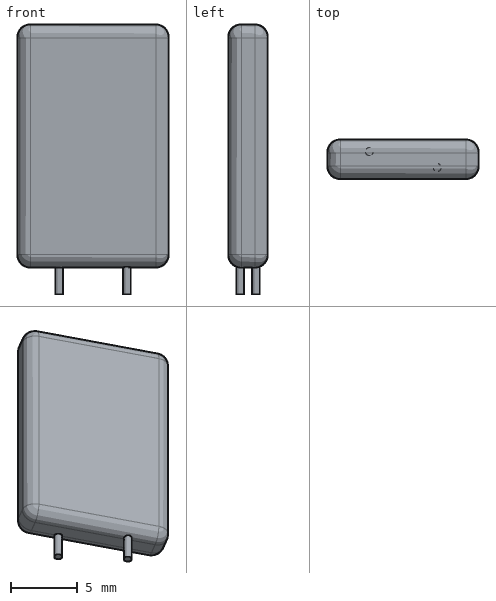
import cadquery as cq

body_width = 11.4
body_thickness = 3.0
body_height = 18.3
edge_radius = 1.0

lead_diameter = 0.6
lead_length = 2.0
lead_pitch = 5.1
lead_stagger = 1.2
lead_embed = edge_radius


def make_body():
    """Upright flat block with all edges rounded."""
    block = cq.Workplane("XY").box(
        body_width, body_thickness, body_height, centered=(True, True, False)
    )
    return block.edges().fillet(edge_radius)


def make_lead(x, y):
    """Round lead pointing down, its upper end buried in the body."""
    return (
        cq.Workplane("XY", origin=(x, y, -lead_length))
        .circle(lead_diameter / 2)
        .extrude(lead_length + lead_embed)
    )


result = make_body()
for side in (-1, 1):
    lead = make_lead(side * lead_pitch / 2, -side * lead_stagger / 2)
    result = result.union(lead)